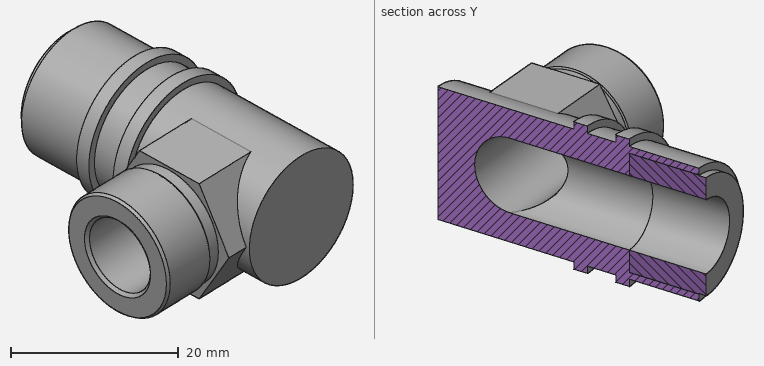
import cadquery as cq
import math


total_length = 38.5
total_width = 31.0
bore_diameter = 10.0

tube_diameter = 18.0
collar_diameter = 20.0
collar_width = 2.0
first_collar_start = 11.0
collar_pitch = 6.0
collar_starts = [first_collar_start + i * collar_pitch for i in range(2)]

ring_diameter = 16.0
ring_protrusion = 1.0
ring_length = first_collar_start

branch_x = 28.2
hex_across_flats = 16.98
hex_reach = 12.0
neck_diameter = 16.15
thread_start = 13.63
thread_run_in = 0.1
thread_diameter = 16.65
branch_reach = total_width - collar_diameter / 2
tip_taper_length = 0.4
tip_taper_depth = 0.27
mouth_chamfer = 0.42


def cylinder_along_x(start, length, diameter):
    return cq.Workplane("YZ", origin=(start, 0, 0)).circle(diameter / 2).extrude(length)


def make_tube():
    tube = cylinder_along_x(ring_protrusion, total_length - ring_protrusion, tube_diameter)
    for start in collar_starts:
        tube = tube.union(cylinder_along_x(start, collar_width, collar_diameter))
    return tube


def make_hexagon():
    corner_diameter = hex_across_flats / math.cos(math.pi / 6)
    return (
        cq.Workplane("XZ", origin=(branch_x, 0, 0))
        .polygon(6, corner_diameter)
        .extrude(hex_reach)
    )


def make_threaded_end():
    neck_radius = neck_diameter / 2
    thread_radius = thread_diameter / 2
    return (
        cq.Workplane("XY", origin=(branch_x, 0, 0))
        .moveTo(0, -hex_reach)
        .lineTo(neck_radius, -hex_reach)
        .lineTo(neck_radius, -thread_start)
        .lineTo(thread_radius, -(thread_start + thread_run_in))
        .lineTo(thread_radius, -(branch_reach - tip_taper_length))
        .lineTo(thread_radius - tip_taper_depth, -branch_reach)
        .lineTo(0, -branch_reach)
        .close()
        .revolve(360, (0, 0, 0), (0, 1, 0))
    )


def make_elbow_bore():
    path = (
        cq.Workplane("XY")
        .moveTo(0, 0)
        .lineTo(branch_x, 0)
        .lineTo(branch_x, -branch_reach)
    )
    return cq.Workplane("YZ").circle(bore_diameter / 2).sweep(path, transition="right")


def make_mouth_cone():
    bore_radius = bore_diameter / 2
    return (
        cq.Workplane("XY", origin=(branch_x, 0, 0))
        .moveTo(0, -branch_reach)
        .lineTo(bore_radius + mouth_chamfer, -branch_reach)
        .lineTo(bore_radius, -(branch_reach - mouth_chamfer))
        .lineTo(0, -(branch_reach - mouth_chamfer))
        .close()
        .revolve(360, (0, 0, 0), (0, 1, 0))
    )


def make_elbow_body():
    outside = make_tube().union(make_hexagon()).union(make_threaded_end())
    ring_socket = cylinder_along_x(0, ring_length, ring_diameter)
    return outside.cut(ring_socket).cut(make_elbow_bore()).cut(make_mouth_cone())


def make_release_ring():
    return (
        cq.Workplane("YZ")
        .circle(ring_diameter / 2)
        .circle(bore_diameter / 2)
        .extrude(ring_length)
    )


elbow_body = make_elbow_body()
release_ring = make_release_ring()

result = cq.Compound.makeCompound([elbow_body.val(), release_ring.val()])